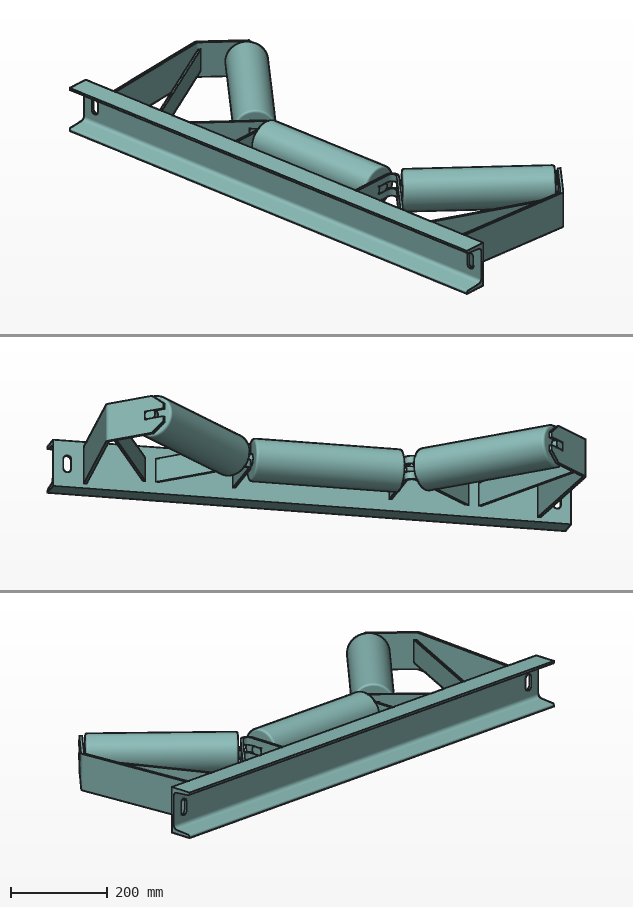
import cadquery as cq
import math

BEAM_LENGTH = 1100.0
BEAM_HEIGHT = 100.0
FLANGE_WIDTH = 50.0
WEB_THICKNESS = 6.0
FLANGE_THICKNESS = 8.5
FLANGE_SLOPE = 0.08
ROOT_RADIUS = 8.5
TOE_RADIUS = 4.5
MOUNT_SLOT_WIDTH = 17.0
MOUNT_SLOT_LENGTH = 36.0
MOUNT_SLOT_FROM_END = 30.0

ROLLER_DIAMETER = 88.9
ROLLER_LENGTH = 315.0
ROLLER_EDGE_RADIUS = 5.0
SHAFT_DIAMETER = 25.0
SHAFT_FLATS = 17.0
END_GAP = 6.0
FLATS_RUN_OUT = 2.5
CENTRE_AXIS_Y = 117.0
WING_ANGLE = 45.0
WING_MID = (315.5, 248.11)

OUTER_THICKNESS = 6.0
OUTER_WIDTH = 80.0
OUTER_BEND_RADIUS = 12.0
OUTER_FOLD_X = 509.5
OUTER_FOOT_X = 485.0
TIP_BEYOND_AXIS = 32.0
TIP_CHAMFER_LENGTH = 27.0
TIP_CHAMFER_HEIGHT = 20.0

INNER_THICKNESS = 5.0
INNER_WIDTH = 50.0
INNER_BEND_RADIUS = 15.0

STRUT_THICKNESS = 5.0
STRUT_WIDTH = 50.0
STRUT_FOOT_X = 354.0

HALF_ROLLER = ROLLER_LENGTH / 2
BRACKET_FACE = HALF_ROLLER + END_GAP
FLATS_START = BRACKET_FACE - FLATS_RUN_OUT
WING_SLOT_REACH = BRACKET_FACE + max(OUTER_THICKNESS, INNER_THICKNESS)
CENTRE_SLOT_REACH = BRACKET_FACE + 2 * INNER_BEND_RADIUS
SHAFT_RADIUS = SHAFT_DIAMETER / 2
DIAGONAL = math.sqrt(0.5)
WING_AXIS = (DIAGONAL, DIAGONAL)
WING_UP = (-DIAGONAL, DIAGONAL)
X_AXIS = (1, 0)
Y_AXIS = (0, 1)
BEAM_LINE = ((0, 0), X_AXIS)
SIDES = (-1, 1)


def step(point, direction, distance):
    """Point reached from another one along a unit direction."""
    return (point[0] + distance * direction[0], point[1] + distance * direction[1])


def unit(start, end):
    """Unit direction from one point to another."""
    length = math.dist(start, end)
    return ((end[0] - start[0]) / length, (end[1] - start[1]) / length)


def turn_left(direction):
    return (-direction[1], direction[0])


def meet(line_a, line_b):
    """Crossing point of two lines, each given as (point, direction)."""
    (ax, ay), (ux, uy) = line_a
    (bx, by), (vx, vy) = line_b
    distance = ((bx - ax) * vy - (by - ay) * vx) / (ux * vy - uy * vx)
    return step((ax, ay), (ux, uy), distance)


def wing_plate_line(along):
    """Line square to the right-hand wing roller, at a distance along its axis from its middle."""
    return (step(WING_MID, WING_AXIS, along), WING_UP)


def plate_on_edge(outline, width):
    """Flat strip standing on edge: its XY outline, extruded evenly about z = 0."""
    return cq.Workplane("XY").polyline(outline).close().extrude(width / 2, both=True)


def round_corner(plate, corner, radius):
    """Round the upright edge of a plate at an outline corner."""
    nearest = cq.selectors.NearestToPointSelector((*corner, 0))
    return plate.edges("|Z").edges(nearest).fillet(radius)


def place_centre(body):
    return body.translate((0, CENTRE_AXIS_Y, 0))


def place_wing(body):
    """Move a body from the origin to the right-hand wing roller."""
    return body.rotate((0, 0, 0), (0, 0, 1), WING_ANGLE).translate((*WING_MID, 0))


def make_beam():
    half = BEAM_HEIGHT / 2
    half_flange = FLANGE_WIDTH / 2
    root_z = half - FLANGE_THICKNESS - FLANGE_SLOPE * (half_flange - WEB_THICKNESS)
    toe_z = half - FLANGE_THICKNESS + FLANGE_SLOPE * half_flange
    profile = [
        (0, -half),
        (-FLANGE_WIDTH, -half),
        (-FLANGE_WIDTH, -toe_z),
        (-WEB_THICKNESS, -root_z),
        (-WEB_THICKNESS, root_z),
        (-FLANGE_WIDTH, toe_z),
        (-FLANGE_WIDTH, half),
        (0, half),
    ]
    beam = cq.Workplane("YZ").polyline(profile).close().extrude(BEAM_LENGTH / 2, both=True)
    roots = (-WEB_THICKNESS, root_z, ROOT_RADIUS)
    toes = (-FLANGE_WIDTH, toe_z, TOE_RADIUS)
    for y, z, radius in (roots, toes):
        for side in SIDES:
            nearest = cq.selectors.NearestToPointSelector((0, y, side * z))
            beam = beam.edges("|X").edges(nearest).fillet(radius)

    slot_x = BEAM_LENGTH / 2 - MOUNT_SLOT_FROM_END
    slots = (
        cq.Workplane("XZ")
        .pushPoints([(side * slot_x, 0) for side in SIDES])
        .slot2D(MOUNT_SLOT_LENGTH, MOUNT_SLOT_WIDTH, 90)
        .extrude(WEB_THICKNESS)
    )
    return beam.cut(slots)


def make_roller(left_thickness, right_thickness):
    """Roller along X at the origin, its flattened shaft ends flush with the brackets' far faces."""
    left_end = -BRACKET_FACE - left_thickness
    right_end = BRACKET_FACE + right_thickness
    shell = (
        cq.Workplane("YZ", (-HALF_ROLLER, 0, 0))
        .circle(ROLLER_DIAMETER / 2)
        .extrude(ROLLER_LENGTH)
        .faces("<X or >X")
        .edges()
        .fillet(ROLLER_EDGE_RADIUS)
    )
    shaft = cq.Workplane("YZ", (left_end, 0, 0)).circle(SHAFT_RADIUS).extrude(right_end - left_end)
    for side in SIDES:
        for end in (left_end, right_end):
            start = math.copysign(FLATS_START, end)
            waste = (
                cq.Workplane("XY")
                .box(abs(end - start), SHAFT_DIAMETER, SHAFT_DIAMETER)
                .translate(((start + end) / 2, 0, side * (SHAFT_FLATS + SHAFT_DIAMETER) / 2))
            )
            shaft = shaft.cut(waste)
    return shell.union(shaft)


def shaft_slot(reach):
    """Slot cutter along X for a roller at the origin: open at the top, floor just under the shaft."""
    height = SHAFT_RADIUS + TIP_BEYOND_AXIS
    return (
        cq.Workplane("XY")
        .box(2 * reach, height, SHAFT_FLATS)
        .translate((0, height / 2 - SHAFT_RADIUS, 0))
    )


def outer_bracket_lines():
    """Inner faces of the right-hand outer bracket's leg and plate, and its outer fold and foot."""
    plate_outer = wing_plate_line(BRACKET_FACE + OUTER_THICKNESS)
    fold = meet(plate_outer, ((OUTER_FOLD_X, 0), Y_AXIS))
    foot = (OUTER_FOOT_X, 0)
    leg_direction = unit(foot, fold)
    leg_inner = (step(foot, turn_left(leg_direction), OUTER_THICKNESS), leg_direction)
    return leg_inner, wing_plate_line(BRACKET_FACE), fold, foot


def make_outer_bracket():
    """Right-hand outer bracket: leaning leg, fold, and a plate square to the wing roller."""
    leg_inner, plate_inner, fold, foot = outer_bracket_lines()
    inner_fold = meet(leg_inner, plate_inner)
    tip_inner = step(plate_inner[0], WING_UP, TIP_BEYOND_AXIS)
    tip_outer = step(tip_inner, WING_AXIS, OUTER_THICKNESS)
    outline = [foot, fold, tip_outer, tip_inner, inner_fold, meet(leg_inner, BEAM_LINE)]
    bracket = plate_on_edge(outline, OUTER_WIDTH)
    bracket = round_corner(bracket, fold, OUTER_BEND_RADIUS)
    bracket = round_corner(bracket, inner_fold, OUTER_BEND_RADIUS - OUTER_THICKNESS)
    top_z = OUTER_WIDTH / 2
    chamfer_z = top_z - TIP_CHAMFER_HEIGHT
    chamfer_y = TIP_BEYOND_AXIS - TIP_CHAMFER_LENGTH
    for side in SIDES:
        corner = (
            cq.Workplane("YZ", (BRACKET_FACE, 0, 0))
            .polyline([
                (TIP_BEYOND_AXIS, side * chamfer_z),
                (TIP_BEYOND_AXIS, side * top_z),
                (chamfer_y, side * top_z),
            ])
            .close()
            .extrude(OUTER_THICKNESS)
        )
        bracket = bracket.cut(place_wing(corner))
    return bracket.cut(place_wing(shaft_slot(WING_SLOT_REACH)))


def make_inner_bracket():
    """Right-hand inner bracket: upright leg and sloping leg joined by one bend at the top."""
    upright_outer = ((BRACKET_FACE, 0), Y_AXIS)
    upright_inner = ((BRACKET_FACE + INNER_THICKNESS, 0), Y_AXIS)
    slope_outer = wing_plate_line(-BRACKET_FACE)
    slope_inner = wing_plate_line(-BRACKET_FACE - INNER_THICKNESS)
    outer_bend = meet(upright_outer, slope_outer)
    inner_bend = meet(upright_inner, slope_inner)
    outline = [
        upright_outer[0],
        outer_bend,
        meet(slope_outer, BEAM_LINE),
        meet(slope_inner, BEAM_LINE),
        inner_bend,
        upright_inner[0],
    ]
    bracket = plate_on_edge(outline, INNER_WIDTH)
    bracket = round_corner(bracket, outer_bend, INNER_BEND_RADIUS)
    bracket = round_corner(bracket, inner_bend, INNER_BEND_RADIUS - INNER_THICKNESS)
    bracket = bracket.cut(place_centre(shaft_slot(CENTRE_SLOT_REACH)))
    return bracket.cut(place_wing(shaft_slot(WING_SLOT_REACH)))


def make_strut():
    """Right-hand strut: from the beam to the outer bracket's plate, just above its fold."""
    leg_inner, plate_inner, _, _ = outer_bracket_lines()
    fold_angle = math.acos(leg_inner[1][0] * WING_UP[0] + leg_inner[1][1] * WING_UP[1])
    bend_length = (OUTER_BEND_RADIUS - OUTER_THICKNESS) * math.tan(fold_angle / 2)
    bend_end = step(meet(leg_inner, plate_inner), WING_UP, bend_length)
    foot = (STRUT_FOOT_X, 0)
    span = math.dist(foot, bend_end)
    lean = math.asin(STRUT_THICKNESS / span)
    aim = math.atan2(bend_end[1], bend_end[0] - STRUT_FOOT_X) + lean
    direction = (math.cos(aim), math.sin(aim))
    outline = [
        foot,
        meet((bend_end, direction), BEAM_LINE),
        bend_end,
        meet((foot, direction), plate_inner),
    ]
    return plate_on_edge(outline, STRUT_WIDTH)


beam = make_beam()
centre_roller = place_centre(make_roller(INNER_THICKNESS, INNER_THICKNESS))
wing_bodies = [
    place_wing(make_roller(INNER_THICKNESS, OUTER_THICKNESS)),
    make_outer_bracket(),
    make_inner_bracket(),
    make_strut(),
]

bodies = [beam.val(), centre_roller.val()]
for body in wing_bodies:
    bodies.append(body.val())
    bodies.append(body.mirror("YZ").val())

result = cq.Compound.makeCompound(bodies)